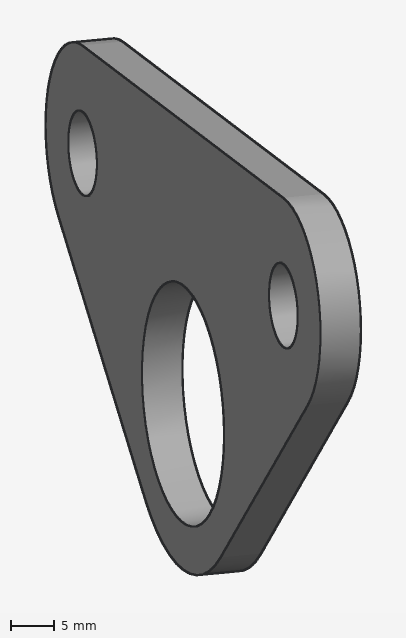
import cadquery as cq
import math

length = 96.0
thickness = 5.0
ear_radius = 13.0
nose_radius = 20.0
nose_drop = 21.0
bolt_hole_diameter = 10.0
bore_diameter = 28.6

ear_x = length / 2 - ear_radius
ear_z = nose_drop
top_z = ear_z + ear_radius

center_distance = math.hypot(ear_x, ear_z)
center_angle = math.atan2(ear_z, ear_x)
flank_angle = center_angle - math.acos((nose_radius - ear_radius) / center_distance)
ear_mid_angle = (flank_angle + math.pi / 2) / 2


def ear_point(side, angle):
    """Point on an ear arc; side is 1 for the right ear and -1 for the left."""
    x = ear_x + ear_radius * math.cos(angle)
    z = ear_z + ear_radius * math.sin(angle)
    return (side * x, z)


def nose_point(side):
    """Point where the nose arc meets the flank on the given side."""
    x = nose_radius * math.cos(flank_angle)
    z = nose_radius * math.sin(flank_angle)
    return (side * x, z)


plate = (
    cq.Workplane("XZ")
    .moveTo(-ear_x, top_z)
    .lineTo(ear_x, top_z)
    .threePointArc(ear_point(1, ear_mid_angle), ear_point(1, flank_angle))
    .lineTo(*nose_point(1))
    .threePointArc((0, -nose_radius), nose_point(-1))
    .lineTo(*ear_point(-1, flank_angle))
    .threePointArc(ear_point(-1, ear_mid_angle), (-ear_x, top_z))
    .close()
    .extrude(thickness / 2, both=True)
)

front_face = cq.Workplane("XZ", origin=(0, -thickness / 2, 0))
bolt_holes = (
    front_face.pushPoints([(-ear_x, ear_z), (ear_x, ear_z)])
    .circle(bolt_hole_diameter / 2)
    .extrude(-thickness)
)
bore = front_face.circle(bore_diameter / 2).extrude(-thickness)

result = plate.cut(bolt_holes).cut(bore)